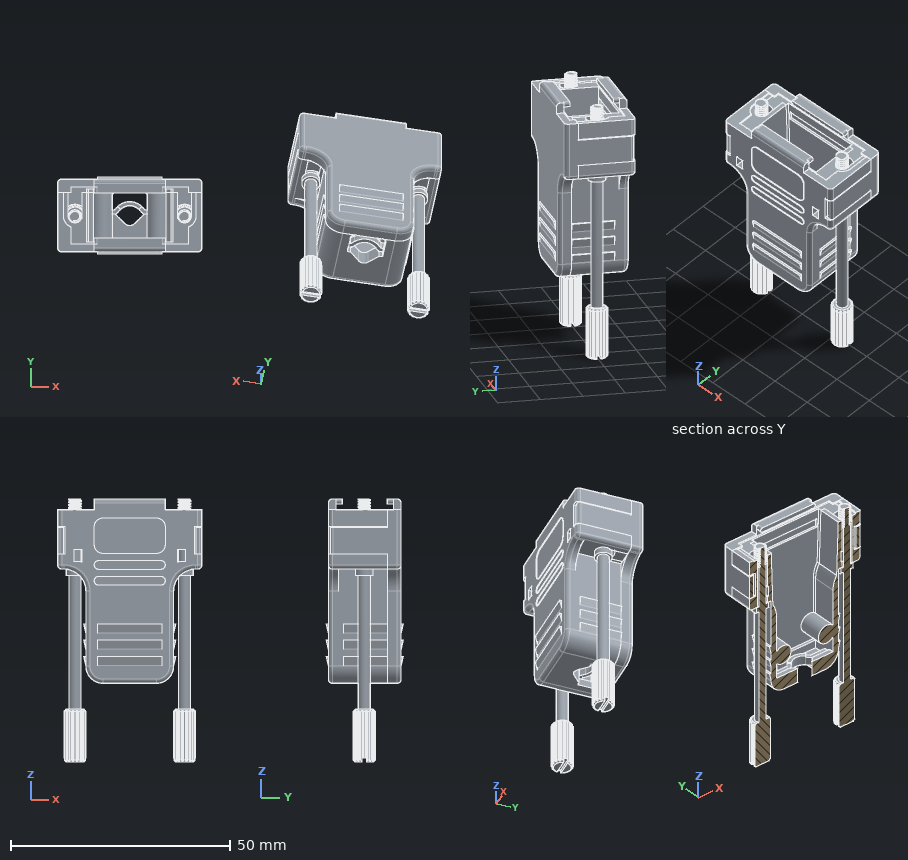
import cadquery as cq
import math


OVERALL_HEIGHT = 60
OVERALL_DEPTH = 17.6
RIB_REACH = 0.5
FLANGE_HALF_WIDTH = 16.45
FLANGE_TOP = 57.55
FLANGE_BOTTOM = 44.0
NECK_HALF_WIDTH = 10.0
NECK_BOTTOM = 17.95
NECK_CORNER_RADIUS = 3.95
SHOULDER_RADIUS = 5.0
EDGE_RADIUS = 0.95
HALF_DEPTH = OVERALL_DEPTH / 2 - RIB_REACH
PARTING_Y = 5.2
ROD_SPACE_DEPTH = 5.95
SELECTION_MARGIN = 0.3

NECK_WALL = 1.75
CAVITY_HALF_DEPTH = 6
MOUTH_HALF_WIDTH = 9.85
THROAT_HALF_WIDTH = 9.35
CRADLE_TOP = 21.95
FLOOR_TOP = 19.8
BOSS_RADIUS = 2.5
BOSS_X = 6.5
BOSS_Z = 27.6

SEAT_HALF_WIDTH = 13.4
SEAT_HALF_DEPTH = 6.55
SEAT_DEPTH = 0.35
LIP_HALF_WIDTH = 8.1
BEAD_HEIGHT = 1.2
BEAD_REACH = 1.45
GROOVE_FLOOR = 52.4
GROOVE_CEILING = 54.6

SCREW_X = 12.5
SCREW_Y = -0.1
ROD_RADIUS = 1.4
SLOT_RADIUS = 1.55
COLLAR_RADIUS = 2.05
COLLAR_HEIGHT = 1.5
SCREW_SEAT_RADIUS = 2.65
HEAD_RADIUS = 2.5
HEAD_LENGTH = 12.05
HEAD_CHAMFER = 0.5
FLUTE_COUNT = 16
FLUTE_DEPTH = 0.25
FLUTE_TOP_WIDTH = 0.65
FLUTE_ROOT_WIDTH = 0.25
DRIVER_SLOT_WIDTH = 0.95
DRIVER_SLOT_DEPTH = 0.9
THREAD_LENGTH = 5.1
THREAD_TURNS = 8
THREAD_PITCH = THREAD_LENGTH / THREAD_TURNS
THREAD_CREST_RADIUS = 1.45
THREAD_ROOT_RADIUS = 1.1
THREAD_ROOT_WIDTH = 0.5
THREAD_CREST_WIDTH = 0.2
THREAD_EMBED = 0.05
THREAD_PHASE = 0.2

LATCH_BOTTOM = 47.45
LATCH_HEIGHT = 6.05
LATCH_THICKNESS = 1.3
LATCH_END_Y = -7.85
LATCH_END_RADIUS = 0.6
LATCH_SIDE_GAP = 0.4
LATCH_TOP_GAP = 0.2

PANEL_TOP = 55.6
PANEL_BOTTOM = 47.6
PANEL_CORNER_RADIUS = 2.0
BAR_WIDTH = 2.0
BAR_HEIGHTS = (44.95, 41.35)
ENGRAVING_DEPTH = 0.2
WINDOW_X = 11.75
WINDOW_WIDTH = 1.8
WINDOW_BOTTOM = 45.7
WINDOW_HEIGHT = 2.7

RIB_COUNT = 3
RIB_TOP = 31.5
RIB_PITCH = 3.7
RIB_HEIGHT = 2.05
RIB_HALF_LENGTH = 7.4
SIDE_RIB_START_Y = -4.85

STRAP_Y = 0.3
OUTLET_HALF_WIDTH = 4.1
OUTLET_CORNER_RADIUS = 0.9
CRADLE_GROOVE_HALF_WIDTH = 3.3
CRADLE_GROOVE_BOTTOM_Y = -2.3
CRADLE_GROOVE_RADIUS = 1.5
STRAP_THICKNESS = 0.95
STRAP_HALF_LENGTH = 7.8
STRAP_WIDTH = CRADLE_TOP - FLOOR_TOP
ARCH_RADIUS = 2.95
ARCH_TOP_Y = 3.2
ARCH_RIM = 0.35


def block(x_range, y_range, z_range):
    """Box given by its limits along each axis."""
    lows, highs = zip(x_range, y_range, z_range)
    sizes = [high - low for low, high in zip(lows, highs)]
    return cq.Workplane("XY").box(*sizes, centered=False).translate(lows)


def extrude_along_y(sketch, y_start, y_end):
    """Extrude an XZ sketch from y_start to y_end; the XZ workplane normal is -Y."""
    return sketch.extrude(y_start - y_end).translate((0, y_start, 0))


def cylinder(x, y, radius, z_start, z_end):
    """Upright cylinder."""
    return cq.Workplane("XY", origin=(x, y, z_start)).circle(radius).extrude(z_end - z_start)


def screw_slot(x, z_start, z_end):
    """Round-ended slot around a jackscrew, open toward the cover."""
    channel = block((x - SLOT_RADIUS, x + SLOT_RADIUS), (SCREW_Y, PARTING_Y), (z_start, z_end))
    return channel.union(cylinder(x, SCREW_Y, SLOT_RADIUS, z_start, z_end))


def hood_blank():
    """Outer form of the closed hood: the T-shaped outline with rounded front and back edges."""
    shoulder_x = NECK_HALF_WIDTH + SHOULDER_RADIUS
    shoulder_z = FLANGE_BOTTOM - SHOULDER_RADIUS
    arc_offset = SHOULDER_RADIUS * math.sqrt(0.5)
    arc_x = shoulder_x - arc_offset
    arc_z = shoulder_z + arc_offset
    outline = (
        cq.Workplane("XZ")
        .moveTo(-FLANGE_HALF_WIDTH, FLANGE_TOP)
        .lineTo(FLANGE_HALF_WIDTH, FLANGE_TOP)
        .lineTo(FLANGE_HALF_WIDTH, FLANGE_BOTTOM)
        .lineTo(shoulder_x, FLANGE_BOTTOM)
        .threePointArc((arc_x, arc_z), (NECK_HALF_WIDTH, shoulder_z))
        .lineTo(NECK_HALF_WIDTH, NECK_BOTTOM)
        .lineTo(-NECK_HALF_WIDTH, NECK_BOTTOM)
        .lineTo(-NECK_HALF_WIDTH, shoulder_z)
        .threePointArc((-arc_x, arc_z), (-shoulder_x, FLANGE_BOTTOM))
        .lineTo(-FLANGE_HALF_WIDTH, FLANGE_BOTTOM)
        .close()
    )
    blank = extrude_along_y(outline, -HALF_DEPTH, HALF_DEPTH)
    blank = blank.edges("|Y").edges("<Z").fillet(NECK_CORNER_RADIUS)
    flange_corners = cq.selectors.BoxSelector(
        (-2 * FLANGE_HALF_WIDTH, -HALF_DEPTH, FLANGE_BOTTOM - SELECTION_MARGIN),
        (2 * FLANGE_HALF_WIDTH, HALF_DEPTH, FLANGE_BOTTOM + SELECTION_MARGIN),
    )
    blank = blank.edges("|Y and (<X or >X)").edges(flange_corners).fillet(EDGE_RADIUS)
    top_edges = cq.selectors.BoxSelector(
        (-2 * FLANGE_HALF_WIDTH, -2 * HALF_DEPTH, FLANGE_TOP - SELECTION_MARGIN),
        (2 * FLANGE_HALF_WIDTH, 2 * HALF_DEPTH, FLANGE_TOP + SELECTION_MARGIN),
    )
    rounded_edges = cq.selectors.SubtractSelector(
        cq.selectors.StringSyntaxSelector("(<Y or >Y)"), top_edges
    )
    return blank.faces("<Y or >Y").edges().edges(rounded_edges).fillet(EDGE_RADIUS)


def cavity():
    """Inner space: a mouth that tapers to a throat, then follows the shoulder arcs into the neck."""
    neck_inner = NECK_HALF_WIDTH - NECK_WALL
    shoulder_x = NECK_HALF_WIDTH + SHOULDER_RADIUS
    shoulder_z = FLANGE_BOTTOM - SHOULDER_RADIUS
    radius = SHOULDER_RADIUS + NECK_WALL

    def arc_height(x):
        return shoulder_z + math.sqrt(radius**2 - (shoulder_x - x) ** 2)

    throat_z = arc_height(THROAT_HALF_WIDTH)
    middle_x = (neck_inner + THROAT_HALF_WIDTH) / 2
    half = (
        cq.Workplane("XZ")
        .moveTo(0, CRADLE_TOP)
        .lineTo(neck_inner, CRADLE_TOP)
        .lineTo(neck_inner, shoulder_z)
        .threePointArc((middle_x, arc_height(middle_x)), (THROAT_HALF_WIDTH, throat_z))
        .lineTo(MOUTH_HALF_WIDTH, FLANGE_TOP)
        .lineTo(0, FLANGE_TOP)
        .close()
    )
    right = extrude_along_y(half, -CAVITY_HALF_DEPTH, CAVITY_HALF_DEPTH)
    return right.union(right.mirror("YZ"))


def connector_seat():
    """Shallow recess in the top face for the connector flange and the jackscrews."""
    z_range = (FLANGE_TOP - SEAT_DEPTH, FLANGE_TOP)
    seat = block((-SEAT_HALF_WIDTH, SEAT_HALF_WIDTH), (-SEAT_HALF_DEPTH, SEAT_HALF_DEPTH), z_range)
    for x in (-SCREW_X, SCREW_X):
        seat = seat.union(cylinder(x, SCREW_Y, SCREW_SEAT_RADIUS, *z_range))
        x_range = (x - SCREW_SEAT_RADIUS, x + SCREW_SEAT_RADIUS)
        seat = seat.union(block(x_range, (SCREW_Y, PARTING_Y), z_range))
    return seat


def connector_groove():
    """Groove across both wide walls of the cavity for the connector shell."""
    return block(
        (-THROAT_HALF_WIDTH, THROAT_HALF_WIDTH),
        (-SEAT_HALF_DEPTH, SEAT_HALF_DEPTH),
        (GROOVE_FLOOR, GROOVE_CEILING),
    )


def snap_lip(side):
    """Lip above the top face with an inward bead; side is -1 for -Y and 1 for +Y."""
    lip = block(
        (-LIP_HALF_WIDTH, LIP_HALF_WIDTH),
        (SEAT_HALF_DEPTH, HALF_DEPTH),
        (FLANGE_TOP - SEAT_DEPTH, OVERALL_HEIGHT),
    )
    lip = lip.edges("|X and >Y and >Z").fillet(EDGE_RADIUS)
    bead_profile = cq.Workplane("XZ", origin=(0, 0, OVERALL_HEIGHT - BEAD_HEIGHT / 2)).slot2D(
        2 * LIP_HALF_WIDTH, BEAD_HEIGHT
    )
    lip = lip.union(extrude_along_y(bead_profile, SEAT_HALF_DEPTH - BEAD_REACH, SEAT_HALF_DEPTH))
    if side < 0:
        lip = lip.mirror("XZ")
    return lip


def grip_rib(top):
    """Wedge on the +Y face, standing out most at its top edge."""
    return (
        cq.Workplane("YZ")
        .polyline([(HALF_DEPTH, top), (HALF_DEPTH + RIB_REACH, top), (HALF_DEPTH, top - RIB_HEIGHT)])
        .close()
        .extrude(RIB_HALF_LENGTH, both=True)
    )


def side_rib(top):
    """Wedge on the +X side of the neck."""
    tip_x = NECK_HALF_WIDTH + RIB_REACH
    corners = [(NECK_HALF_WIDTH, top), (tip_x, top), (NECK_HALF_WIDTH, top - RIB_HEIGHT)]
    wedge = cq.Workplane("XZ").polyline(corners).close()
    return extrude_along_y(wedge, SIDE_RIB_START_Y, PARTING_Y)


def front_engraving():
    """Shallow panel and two round-ended bars in the front face."""
    panel_center = (PANEL_TOP + PANEL_BOTTOM) / 2
    panel = cq.Workplane("XZ", origin=(0, 0, panel_center)).rect(
        2 * LIP_HALF_WIDTH, PANEL_TOP - PANEL_BOTTOM
    )
    depth_range = (-HALF_DEPTH, -HALF_DEPTH + ENGRAVING_DEPTH)
    engraving = extrude_along_y(panel, *depth_range).edges("|Y").fillet(PANEL_CORNER_RADIUS)
    for z in BAR_HEIGHTS:
        bar = cq.Workplane("XZ", origin=(0, 0, z)).slot2D(2 * LIP_HALF_WIDTH, BAR_WIDTH)
        engraving = engraving.union(extrude_along_y(bar, *depth_range))
    return engraving


def cable_outlet():
    """Opening through the bottom wall: a wide window above a V groove with a rounded bottom."""
    window = block(
        (-OUTLET_HALF_WIDTH, OUTLET_HALF_WIDTH), (STRAP_Y, PARTING_Y), (NECK_BOTTOM, CRADLE_TOP)
    )
    window = window.edges("|Z and >Y").fillet(OUTLET_CORNER_RADIUS)
    center_y = CRADLE_GROOVE_BOTTOM_Y + CRADLE_GROOVE_RADIUS
    tangent = CRADLE_GROOVE_RADIUS * math.sqrt(0.5)
    groove = (
        cq.Workplane("XY", origin=(0, 0, NECK_BOTTOM))
        .moveTo(-CRADLE_GROOVE_HALF_WIDTH, STRAP_Y)
        .lineTo(-tangent, center_y - tangent)
        .threePointArc((0, CRADLE_GROOVE_BOTTOM_Y), (tangent, center_y - tangent))
        .lineTo(CRADLE_GROOVE_HALF_WIDTH, STRAP_Y)
        .close()
        .extrude(CRADLE_TOP - NECK_BOTTOM)
    )
    return window.union(groove)


def strap_pocket():
    """Space above the cradle, behind the bottom wall, in which the strap lies."""
    half_width = NECK_HALF_WIDTH - NECK_WALL
    return block((-half_width, half_width), (STRAP_Y, PARTING_Y), (FLOOR_TOP, CRADLE_TOP))


def latch_notch():
    """Notch in the +X side of the housing, a little larger than the cover latch."""
    return block(
        (FLANGE_HALF_WIDTH - LATCH_THICKNESS - LATCH_SIDE_GAP, FLANGE_HALF_WIDTH),
        (-HALF_DEPTH, PARTING_Y),
        (LATCH_BOTTOM, LATCH_BOTTOM + LATCH_HEIGHT + LATCH_TOP_GAP),
    )


def latch():
    """Tab of the cover that lies in the +X notch of the housing."""
    tab = block(
        (FLANGE_HALF_WIDTH - LATCH_THICKNESS, FLANGE_HALF_WIDTH),
        (LATCH_END_Y, PARTING_Y),
        (LATCH_BOTTOM, LATCH_BOTTOM + LATCH_HEIGHT),
    )
    return tab.edges("|Z and >X and <Y").fillet(LATCH_END_RADIUS)


def screw_tongue():
    """Tongue of the cover that fills the +X jackscrew slot up to the screw."""
    z_range = (FLANGE_BOTTOM, FLANGE_TOP - SEAT_DEPTH)
    tongue = block((SCREW_X - SLOT_RADIUS, SCREW_X + SLOT_RADIUS), (SCREW_Y, PARTING_Y), z_range)
    return tongue.cut(cylinder(SCREW_X, SCREW_Y, SCREW_SEAT_RADIUS, *z_range))


def make_housing():
    """Main shell on the -Y side of the parting plane."""
    width_range = (-2 * FLANGE_HALF_WIDTH, 2 * FLANGE_HALF_WIDTH)
    body = hood_blank().intersect(block(width_range, (-HALF_DEPTH, PARTING_Y), (0, FLANGE_TOP)))
    body = body.cut(cavity()).cut(connector_groove()).cut(strap_pocket())

    for x in (-BOSS_X, BOSS_X):
        boss = cq.Workplane("XZ", origin=(x, 0, BOSS_Z)).circle(BOSS_RADIUS)
        body = body.union(extrude_along_y(boss, -SEAT_HALF_DEPTH, PARTING_Y))

    rod_space = block(
        (NECK_HALF_WIDTH, FLANGE_HALF_WIDTH),
        (-ROD_SPACE_DEPTH, PARTING_Y),
        (NECK_BOTTOM + NECK_CORNER_RADIUS, FLANGE_BOTTOM),
    )
    body = body.cut(rod_space).cut(rod_space.mirror("YZ"))

    for x in (-SCREW_X, SCREW_X):
        body = body.cut(screw_slot(x, FLANGE_BOTTOM, FLANGE_TOP))

    for x in (-WINDOW_X, WINDOW_X):
        x_range = (x - WINDOW_WIDTH / 2, x + WINDOW_WIDTH / 2)
        z_range = (WINDOW_BOTTOM, WINDOW_BOTTOM + WINDOW_HEIGHT)
        body = body.cut(block(x_range, (-HALF_DEPTH, SCREW_Y), z_range))

    body = body.cut(latch_notch()).cut(latch_notch().mirror("YZ"))
    body = body.cut(connector_seat()).cut(front_engraving()).cut(cable_outlet())
    body = body.union(snap_lip(-1))

    for index in range(RIB_COUNT):
        top = RIB_TOP - index * RIB_PITCH
        body = body.union(grip_rib(top).mirror("XZ"))
        body = body.union(side_rib(top)).union(side_rib(top).mirror("YZ"))
    return body


def make_cover():
    """Back shell on the +Y side of the parting plane, latched around the flange."""
    width_range = (-2 * FLANGE_HALF_WIDTH, 2 * FLANGE_HALF_WIDTH)
    body = hood_blank().intersect(block(width_range, (PARTING_Y, HALF_DEPTH), (0, FLANGE_TOP)))
    body = body.cut(cavity()).cut(connector_groove()).cut(connector_seat())
    body = body.union(snap_lip(1))
    body = body.union(latch()).union(latch().mirror("YZ"))
    body = body.union(screw_tongue()).union(screw_tongue().mirror("YZ"))
    for index in range(RIB_COUNT):
        body = body.union(grip_rib(RIB_TOP - index * RIB_PITCH))
    return body


def make_strap():
    """Cable strap: two flat ears and a raised arch with sloping feet over the V groove."""
    outer_radius = ARCH_RADIUS + STRAP_THICKNESS
    center_y = ARCH_TOP_Y - outer_radius

    def arch_bar(radius, base_y):
        """Solid bar under an arch of the given radius with 45-degree feet that end at base_y."""
        tangent = radius * math.sqrt(0.5)
        foot_x = tangent + center_y + tangent - base_y
        return (
            cq.Workplane("XY", origin=(0, 0, FLOOR_TOP))
            .moveTo(-foot_x, base_y)
            .lineTo(-tangent, center_y + tangent)
            .threePointArc((0, center_y + radius), (tangent, center_y + tangent))
            .lineTo(foot_x, base_y)
            .close()
            .extrude(STRAP_WIDTH)
        )

    ears = block(
        (-STRAP_HALF_LENGTH, STRAP_HALF_LENGTH),
        (STRAP_Y, STRAP_Y + STRAP_THICKNESS),
        (FLOOR_TOP, CRADLE_TOP),
    )
    strap = ears.union(arch_bar(outer_radius, STRAP_Y)).cut(arch_bar(ARCH_RADIUS, STRAP_Y))

    ring = cylinder(0, center_y, outer_radius, CRADLE_TOP, CRADLE_TOP + ARCH_RIM)
    ring = ring.cut(cylinder(0, center_y, ARCH_RADIUS, CRADLE_TOP, CRADLE_TOP + ARCH_RIM))
    sector = (
        cq.Workplane("XY", origin=(0, center_y, CRADLE_TOP))
        .polyline([(0, 0), (2 * outer_radius, 2 * outer_radius), (-2 * outer_radius, 2 * outer_radius)])
        .close()
        .extrude(ARCH_RIM)
    )
    return strap.union(ring.intersect(sector))


def screw_thread():
    """Right-handed ridge around the screw tip, cut level with the end of the screw."""
    start_z = OVERALL_HEIGHT - THREAD_LENGTH
    inner = THREAD_ROOT_RADIUS - THREAD_EMBED
    helix = cq.Wire.makeHelix(THREAD_PITCH, THREAD_LENGTH + THREAD_PITCH, inner)
    half_root = THREAD_ROOT_WIDTH / 2
    half_crest = THREAD_CREST_WIDTH / 2
    corners = [
        (inner, -half_root),
        (THREAD_CREST_RADIUS, -half_crest),
        (THREAD_CREST_RADIUS, half_crest),
        (inner, half_root),
    ]
    profile = cq.Workplane("XZ").polyline(corners).close()
    ridge = profile.sweep(cq.Workplane(obj=helix), isFrenet=True)
    ridge = ridge.translate((0, 0, start_z + THREAD_PHASE))
    return ridge.intersect(cylinder(0, 0, HEAD_RADIUS, start_z - THREAD_PITCH, OVERALL_HEIGHT))


def make_screw():
    """Jackscrew on the Z axis: fluted head with a driver slot, rod with a collar, threaded tip."""
    head = cylinder(0, 0, HEAD_RADIUS, 0, HEAD_LENGTH).faces("<Z or >Z").chamfer(HEAD_CHAMFER)
    outer_width = 2 * FLUTE_TOP_WIDTH - FLUTE_ROOT_WIDTH
    flute = (
        cq.Workplane("XY")
        .polyline(
            [
                (HEAD_RADIUS + FLUTE_DEPTH, -outer_width / 2),
                (HEAD_RADIUS - FLUTE_DEPTH, -FLUTE_ROOT_WIDTH / 2),
                (HEAD_RADIUS - FLUTE_DEPTH, FLUTE_ROOT_WIDTH / 2),
                (HEAD_RADIUS + FLUTE_DEPTH, outer_width / 2),
            ]
        )
        .close()
        .extrude(HEAD_LENGTH)
    )
    flute_pitch = 360 / FLUTE_COUNT
    for index in range(FLUTE_COUNT):
        head = head.cut(flute.rotate((0, 0, 0), (0, 0, 1), (index + 0.5) * flute_pitch))
    head = head.cut(
        block(
            (-HEAD_RADIUS, HEAD_RADIUS),
            (-DRIVER_SLOT_WIDTH / 2, DRIVER_SLOT_WIDTH / 2),
            (0, DRIVER_SLOT_DEPTH),
        )
    )
    thread_start = OVERALL_HEIGHT - THREAD_LENGTH
    rod = cylinder(0, 0, ROD_RADIUS, HEAD_LENGTH, thread_start)
    collar = cylinder(0, 0, COLLAR_RADIUS, FLANGE_BOTTOM - COLLAR_HEIGHT, FLANGE_BOTTOM)
    core = cylinder(0, 0, THREAD_ROOT_RADIUS, thread_start, OVERALL_HEIGHT)
    return head.union(rod).union(collar).union(core).union(screw_thread())


housing = make_housing()
cover = make_cover()
strap = make_strap()
screw = make_screw()
screws = [screw.translate((x, SCREW_Y, 0)).solids().val() for x in (-SCREW_X, SCREW_X)]

result = cq.Compound.makeCompound(
    [housing.solids().val(), cover.solids().val(), strap.solids().val(), *screws]
)